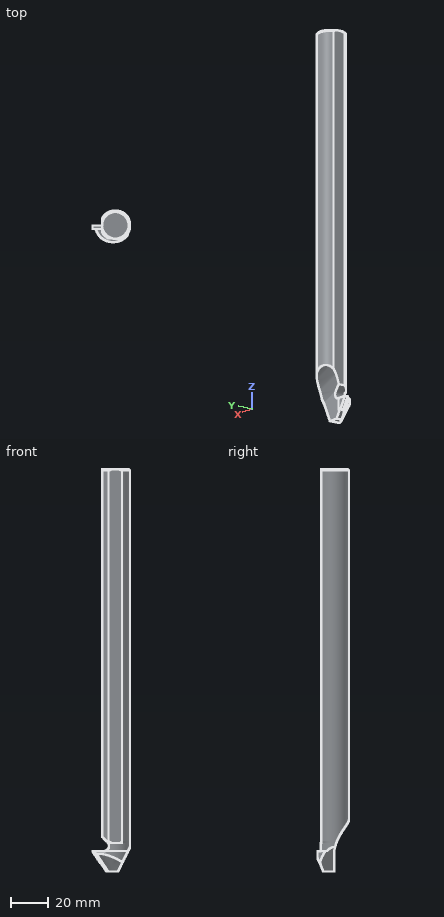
import cadquery as cq
import math

length = 215.29
width = 20.27
depth = 17.03
shank_radius = 15.875 / 2
tip_x = shank_radius - width
head_reach_y = shank_radius - depth

flat_distance = 7.05
end_chamfer = 0.8

neck_radius = 7.4
neck_center_x = shank_radius - neck_radius
neck_cone_bottom_z = 15.2
neck_cone_top_z = 16.2

gap_wall_x = -3.4
gap_radius = 2.8

ledge_z = 11.0
head_radius = 9.7
head_center = (-1.2, head_reach_y + head_radius)

nose_center = (1.3, 0.0)
nose_radius = 6.0
ledge_center = (0.6, 2.2)
ledge_radius = 12.9

nose_left_x = -5.1
nose_right_x = 1.4
flank_right_z = 13.2
left_flank_depth = 3.2
left_flank_inset = 0.35

insert_thickness = 2.0
insert_bottom_z = 4.6
insert_inner_x = -6.4

relief_start_z = 13.9
relief_middle = (3.7, 23.6)
relief_end = (shank_radius, 28.0)
relief_drop_per_x = 0.43

reach = 20.0


def left_flank_x(z):
    """X of the left cutting flank at height z."""
    return nose_left_x + (tip_x - nose_left_x) * z / ledge_z


def make_shank():
    """Round bar with a chamfered end and flats on its -X and -Y sides, above the neck transition."""
    bar = (
        cq.Workplane("XY", origin=(0, 0, neck_cone_top_z))
        .circle(shank_radius)
        .extrude(length - neck_cone_top_z)
        .faces(">Z")
        .chamfer(end_chamfer)
    )
    return bar.union(make_neck_transition()).intersect(make_flats())


def make_flats():
    """Block whose -X and -Y sides are the two shank flats."""
    block = cq.Workplane("XY").box(2 * reach, 2 * reach, length, centered=False)
    return block.translate((-flat_distance, -flat_distance, 0))


def make_neck_transition():
    """Cone from the neck circle up to the full shank circle."""
    return (
        cq.Workplane("XY", origin=(neck_center_x, 0, neck_cone_bottom_z))
        .circle(neck_radius)
        .workplane(offset=neck_cone_top_z - neck_cone_bottom_z)
        .center(-neck_center_x, 0)
        .circle(shank_radius)
        .loft(ruled=True)
    )


def make_neck():
    """Cylinder that carries the head, set off toward +X."""
    neck_height = neck_cone_bottom_z - ledge_z
    return (
        cq.Workplane("XY", origin=(neck_center_x, 0, ledge_z))
        .circle(neck_radius)
        .extrude(neck_height)
    )


def make_head():
    """Oblique cone with a flat left flank, trimmed by the head cylinder."""
    cone = (
        cq.Workplane("XY")
        .center(*nose_center)
        .circle(nose_radius)
        .workplane(offset=ledge_z)
        .center(ledge_center[0] - nose_center[0], ledge_center[1] - nose_center[1])
        .circle(ledge_radius)
        .loft(ruled=True)
    )
    left_flank = (
        cq.Workplane("XZ")
        .moveTo(left_flank_x(0) + left_flank_inset, 0)
        .lineTo(left_flank_x(ledge_z) + left_flank_inset, ledge_z)
        .lineTo(nose_right_x, ledge_z)
        .lineTo(nose_right_x, 0)
        .close()
        .extrude(left_flank_depth)
    )
    trim = cq.Workplane("XY").center(*head_center).circle(head_radius).extrude(ledge_z)
    return cone.union(left_flank).intersect(trim)


def make_chip_gap():
    """Open space between the cutting tip and the shank: an arc joins the ledge to a 45 degree roof."""
    arc_center_x = gap_wall_x - gap_radius
    arc_center_z = ledge_z + gap_radius
    diagonal = gap_radius * math.sqrt(0.5)
    roof_x = arc_center_x + diagonal
    roof_z = arc_center_z + diagonal
    return (
        cq.Workplane("XZ", origin=(0, reach, 0))
        .moveTo(-reach, ledge_z)
        .lineTo(arc_center_x, ledge_z)
        .threePointArc((gap_wall_x, arc_center_z), (roof_x, roof_z))
        .lineTo(-reach, roof_z + roof_x + reach)
        .close()
        .extrude(2 * reach)
    )


def make_right_flank_cut():
    """Space beyond the sloping right flank, below the shank."""
    return (
        cq.Workplane("XZ", origin=(0, reach, 0))
        .moveTo(nose_right_x, 0)
        .lineTo(shank_radius, flank_right_z)
        .lineTo(reach, flank_right_z)
        .lineTo(reach, 0)
        .close()
        .extrude(2 * reach)
    )


def make_relief():
    """Space in front of the rake face and under the concave run-out, which slopes down toward +X."""
    start_z = relief_drop_per_x * reach
    bottom = -reach - start_z
    sweep = cq.Vector(2 * reach, 0, -2 * start_z)
    outline = (
        cq.Workplane("YZ", origin=(-reach, 0, start_z))
        .moveTo(0, bottom)
        .lineTo(0, relief_start_z)
        .threePointArc(relief_middle, relief_end)
        .lineTo(reach, relief_end[1])
        .lineTo(reach, bottom)
        .close()
    )
    return cq.Workplane(cq.Solid.extrudeLinear(outline.wires().val(), [], sweep))


def make_insert():
    """Plate with the cutting tip, flush with the rake face and the ledge."""
    return (
        cq.Workplane("XZ")
        .moveTo(tip_x, ledge_z)
        .lineTo(insert_inner_x, ledge_z)
        .lineTo(insert_inner_x, insert_bottom_z)
        .lineTo(left_flank_x(insert_bottom_z), insert_bottom_z)
        .close()
        .extrude(insert_thickness)
    )


insert = make_insert()

holder = make_shank().union(make_neck()).cut(make_chip_gap())
holder = holder.union(make_head())
holder = holder.cut(make_right_flank_cut()).cut(make_relief()).cut(insert)

result = cq.Compound.makeCompound([holder.val(), insert.val()])